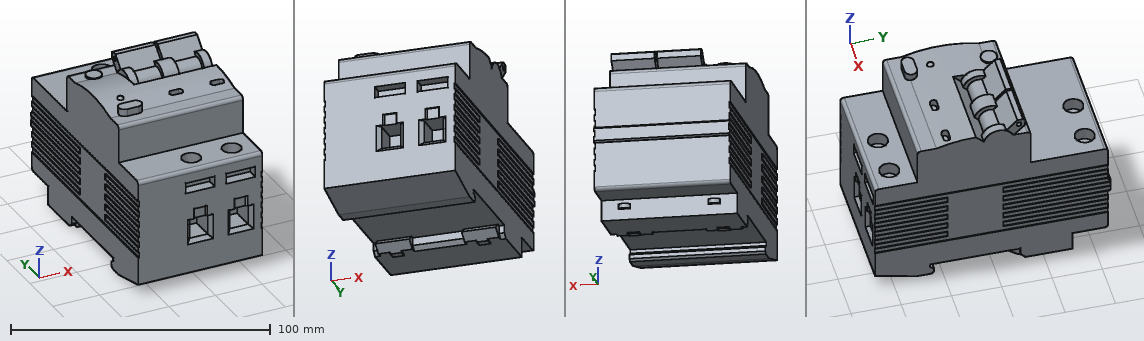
import cadquery as cq
import math


width = 53.4
back_y = 92.8
shoulder_z = 49.5
head_front_y, head_back_y = 16.9, 62.0
head_z = 65.6
crown_front_y, crown_back_y = 24.4, 55.1
crown_z = 67.8
edge_radius = 1.5

latch_bottom_z, latch_top_z = 27.2, 33.4
latch_y = 93.8
latch_chamfer = 0.7

back_step_y, back_step_z = 78.6, 8.2
seat_front_y, seat_back_y = 21.95, 58.1
seat_z = 5.0
seat_relief = 1.8
hook_y = 23.5
hook_bottom_z, hook_mid_z, hook_top_z = 0.9, 2.5, 3.6
front_foot_y, front_foot_corner_y = 16.8, 22.5
nose_z = 4.0

jaw_width = 13.9
sole_width = 4.6
clip_centers_x = (9.1, width - 9.1)
clip_drop = 0.5
clip_tip_y, clip_tip_z = 53.8, 2.7
clip_top_y = 56.6
clip_sole_front_y, clip_sole_back_y = 58.25, 61.4
tab_shoulder_y, tab_end_y = 79.2, 80.4
tab_bottom_z, tab_height = 4.3, 1.8

panel_bottom_z, panel_top_z = 16.0, 40.7
panel_depth = 0.4
rib_count = 5
front_rib_end_y, back_rib_start_y = 28.9, 51.0

pole_centers_x = (26.7, 44.1)
screw_diameter = 7.8
screw_centers_y = (8.1, 85.8)
screw_depth = 5.25
label_width, label_height, label_depth = 12.5, 4.5, 4.6
label_bottom_z = 39.3
port_width, port_bottom_z, port_top_z = 11.0, 16.6, 27.3
port_bevel = 1.6
port_depth = 11.3
notch_width, notch_height, notch_depth = 5.7, 4.4, 0.7
notch_taper = 0.6

pivot_y, pivot_z = 49.2, 63.0
bay_front_y, bay_back_y = 40.1, 52.5
toggle_start_x = 18.1
shaft_radius = 4.3
cam_radius = 6.2
end_cam_width, middle_cam_width = 3.6, 6.7
middle_cam_x = 35.8
toggle_gap = 0.9
lever_inset = 0.1
toggle_top_z = 72.9
toggle_top_front_y, toggle_top_back_y = 56.7, 58.9
toggle_back_y = 59.75
toggle_bevel_z, toggle_heel_z = 72.4, 69.9
toggle_reach = 10.3
link_diameter = 1.8
link_y, link_z = 57.3, 70.5
link_recess = 1.9

button_x = 8.9
reset_diameter, reset_y, reset_z = 6.5, 56.8, 66.3
test_length, test_width, test_y, test_z = 9.85, 5.0, 25.1, 68.7
lamp_radius, lamp_y, lamp_z = 1.4, 33.6, 67.0
window_length, window_width, window_depth = 5.7, 2.6, 2.8
window_centers_x = (30.8, 48.4)
window_y = 29.5


def box(x0, x1, y0, y1, z0, z1):
    """Box between two opposite corners."""
    return cq.Workplane("XY").box(x1 - x0, y1 - y0, z1 - z0, centered=False).translate((x0, y0, z0))


def prism(points, x0, x1):
    """Extrude a closed (y, z) outline from x0 to x1."""
    return cq.Workplane("YZ", origin=(x0, 0, 0)).polyline(points).close().extrude(x1 - x0)


def rod(y, z, radius, x0, x1):
    """Cylinder along X."""
    return cq.Workplane("YZ", origin=(x0, y, z)).circle(radius).extrude(x1 - x0)


def crown_height(y):
    """Height of the arched crown at a given y."""
    half_chord = (crown_back_y - crown_front_y) / 2
    rise = crown_z - head_z
    radius = (half_chord**2 + rise**2) / (2 * rise)
    offset = y - (crown_front_y + crown_back_y) / 2
    return crown_z - radius + math.sqrt(radius**2 - offset**2)


def make_housing():
    """Side outline carried across the full width, with rounded long edges."""
    outline = (
        cq.Workplane("YZ")
        .moveTo(0, nose_z)
        .lineTo(0, shoulder_z)
        .lineTo(head_front_y, shoulder_z)
        .lineTo(head_front_y, head_z)
        .lineTo(crown_front_y, head_z)
        .threePointArc(((crown_front_y + crown_back_y) / 2, crown_z), (crown_back_y, head_z))
        .lineTo(head_back_y, head_z)
        .lineTo(head_back_y, shoulder_z)
        .lineTo(back_y, shoulder_z)
        .lineTo(back_y, latch_top_z)
        .lineTo(latch_y, latch_top_z - latch_chamfer)
        .lineTo(latch_y, latch_bottom_z + latch_chamfer)
        .lineTo(latch_y - latch_chamfer, latch_bottom_z)
        .lineTo(back_y, latch_bottom_z)
        .lineTo(back_y, back_step_z)
        .lineTo(back_step_y, back_step_z)
        .lineTo(back_step_y, 0)
        .lineTo(seat_back_y + seat_relief, 0)
        .lineTo(seat_back_y, seat_relief)
        .lineTo(seat_back_y, seat_z)
        .lineTo(seat_front_y, seat_z)
        .lineTo(seat_front_y, hook_top_z)
        .lineTo(hook_y, hook_mid_z)
        .lineTo(hook_y, hook_bottom_z)
        .lineTo(front_foot_corner_y, 0)
        .lineTo(front_foot_y, 0)
        .close()
    )
    rounded_corners = (
        (0, shoulder_z),
        (head_front_y, head_z),
        (head_back_y, head_z),
        (back_y, shoulder_z),
        (back_y, back_step_z),
    )
    housing = outline.extrude(width)
    for y, z in rounded_corners:
        corner = cq.selectors.NearestToPointSelector((width / 2, y, z))
        housing = housing.edges("|X").edges(corner).fillet(edge_radius)
    return housing


def make_grip_recesses():
    """Shallow panels sunk into both sides, leaving two rows of raised ribs."""
    strip = (panel_top_z - panel_bottom_z) / (2 * rib_count + 1)
    recesses = cq.Workplane("XY")
    for x0 in (0, width - panel_depth):
        x1 = x0 + panel_depth
        panel = box(x0, x1, 0, latch_y, panel_bottom_z, panel_top_z)
        for i in range(rib_count):
            rib_z = panel_bottom_z + (2 * i + 1) * strip
            panel = panel.cut(box(x0, x1, 0, front_rib_end_y, rib_z, rib_z + strip))
            panel = panel.cut(box(x0, x1, back_rib_start_y, latch_y, rib_z, rib_z + strip))
        recesses = recesses.add(panel)
    return recesses.combine()


def make_screw_holes():
    centers = [(x, y) for x in pole_centers_x for y in screw_centers_y]
    return (
        cq.Workplane("XY", origin=(0, 0, shoulder_z))
        .pushPoints(centers)
        .circle(screw_diameter / 2)
        .extrude(-screw_depth)
    )


def make_terminal_openings(x):
    """Label slot, bevelled wire port and tapered notch in the front face of one pole."""
    label_half = label_width / 2
    label_top_z = label_bottom_z + label_height
    label = box(x - label_half, x + label_half, 0, label_depth, label_bottom_z, label_top_z)

    half = port_width / 2
    inner_half = half - port_bevel
    inner_bottom_z = port_bottom_z + port_bevel
    port = box(x - inner_half, x + inner_half, 0, port_depth, inner_bottom_z, port_top_z)
    mouth_height = port_top_z - port_bottom_z
    mouth = (
        cq.Workplane("XZ", origin=(x, 0, port_top_z))
        .rect(port_width, 2 * mouth_height)
        .workplane(offset=-port_bevel)
        .rect(2 * inner_half, 2 * (mouth_height - port_bevel))
        .loft(ruled=True)
        .intersect(box(x - half, x + half, 0, port_bevel, port_bottom_z, port_top_z))
    )

    notch_half = notch_width / 2
    floor_half = notch_half - notch_taper
    notch = (
        cq.Workplane("XY", origin=(x, 0, port_top_z))
        .polyline([(-notch_half, 0), (notch_half, 0), (floor_half, notch_depth), (-floor_half, notch_depth)])
        .close()
        .extrude(notch_height)
    )
    return label.union(port).union(mouth).union(notch)


def make_windows():
    """Oval indicator windows sunk vertically into the crown."""
    return (
        cq.Workplane("XY", origin=(0, 0, crown_height(window_y) - window_depth))
        .pushPoints([(x, window_y) for x in window_centers_x])
        .slot2D(window_length, window_width)
        .extrude(crown_z)
    )


def make_toggle_bay():
    """Trough for the toggle: 45 degree front wall, flat floor, upright back wall."""
    front_z = crown_height(bay_front_y)
    floor_front_y = bay_front_y + front_z - pivot_z
    outline = [
        (bay_front_y, front_z),
        (floor_front_y, pivot_z),
        (bay_back_y, pivot_z),
        (bay_back_y, toggle_top_z),
        (bay_front_y, toggle_top_z),
    ]
    return prism(outline, toggle_start_x, width)


def make_toggle():
    """Shaft with three cams and two levers joined by a link pin."""
    toggle = rod(pivot_y, pivot_z, shaft_radius, toggle_start_x, width)

    cam_spans = (
        (toggle_start_x, toggle_start_x + end_cam_width),
        (middle_cam_x - middle_cam_width / 2, middle_cam_x + middle_cam_width / 2),
        (width - end_cam_width, width),
    )
    for x0, x1 in cam_spans:
        toggle = toggle.union(rod(pivot_y, pivot_z, cam_radius, x0, x1))

    lever_start_x = toggle_start_x + lever_inset
    lever_end_x = width - lever_inset
    heel_reach = toggle_reach - (toggle_top_z - toggle_heel_z)
    lever_outline = [
        (toggle_top_front_y, toggle_top_z),
        (toggle_top_back_y, toggle_top_z),
        (toggle_back_y, toggle_bevel_z),
        (toggle_back_y, toggle_heel_z),
        (toggle_back_y - heel_reach, toggle_heel_z - heel_reach),
        (toggle_top_front_y - toggle_reach, toggle_top_z - toggle_reach),
    ]
    lever_spans = (
        (lever_start_x, middle_cam_x - toggle_gap / 2),
        (middle_cam_x + toggle_gap / 2, lever_end_x),
    )
    for x0, x1 in lever_spans:
        toggle = toggle.union(prism(lever_outline, x0, x1))

    link_radius = link_diameter / 2
    pin = rod(link_y, link_z, link_radius, lever_start_x + link_recess, lever_end_x - link_recess)
    link_hole = rod(link_y, link_z, link_radius, lever_start_x, lever_end_x)
    return toggle.cut(link_hole).union(pin)


def make_buttons_and_lamp():
    reset = (
        cq.Workplane("XY", origin=(button_x, reset_y, shoulder_z))
        .circle(reset_diameter / 2)
        .extrude(reset_z - shoulder_z)
    )
    test = (
        cq.Workplane("XY", origin=(button_x, test_y, shoulder_z))
        .slot2D(test_length, test_width)
        .extrude(test_z - shoulder_z)
    )
    lamp = cq.Workplane("XY", origin=(button_x, lamp_y, lamp_z)).sphere(lamp_radius)
    return reset.union(test).union(lamp)


def make_clip(x):
    """Spring clip in the back foot: wide jaw, narrow foot pad and a round-ended pull tab."""
    clip_outline = [
        (clip_top_y, seat_z),
        (clip_tip_y, clip_tip_z),
        (clip_sole_front_y, -clip_drop),
        (clip_sole_back_y, -clip_drop),
        (clip_sole_back_y, seat_z),
    ]
    sole_half = sole_width / 2
    jaw_half = jaw_width / 2
    sole = prism(clip_outline, x - sole_half, x + sole_half)
    above_feet = box(x - jaw_half, x + jaw_half, 0, back_y, 0, seat_z)
    jaw = prism(clip_outline, x - jaw_half, x + jaw_half).intersect(above_feet)
    tab = (
        cq.Workplane("XY", origin=(x, 0, tab_bottom_z))
        .moveTo(-sole_half, clip_sole_back_y)
        .lineTo(-sole_half, tab_shoulder_y)
        .threePointArc((0, tab_end_y), (sole_half, tab_shoulder_y))
        .lineTo(sole_half, clip_sole_back_y)
        .close()
        .extrude(tab_height)
    )
    return jaw.union(sole).union(tab)


result = make_housing().cut(make_grip_recesses()).cut(make_screw_holes())
for pole_x in pole_centers_x:
    result = result.cut(make_terminal_openings(pole_x))
result = result.cut(make_windows()).cut(make_toggle_bay())
result = result.union(make_toggle()).union(make_buttons_and_lamp())
for clip_x in clip_centers_x:
    result = result.union(make_clip(clip_x))